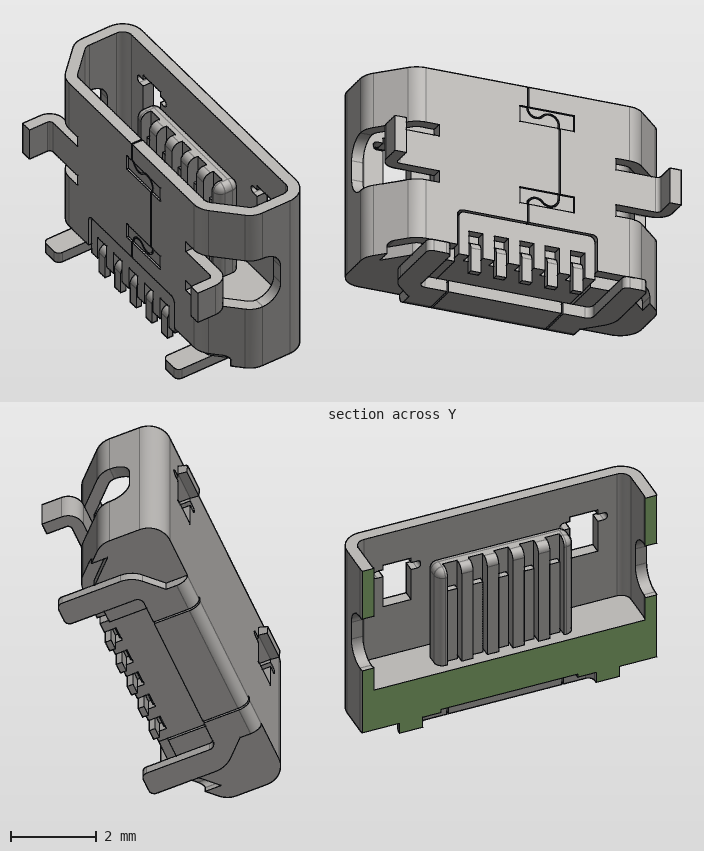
import cadquery as cq
import math


width = 7.5
height = 5.0
depth = 2.46
sheet = 0.29
front_chamfer = 0.93
outer_radius = 0.54
inner_radius = outer_radius - sheet
half_width = width / 2
inner_back = depth - sheet

window_mid_z = 2.85
window_height = 1.49
window_back = 1.665
window_radius = 0.5
slot_inner_x = 2.255
tab_height = 0.9
tab_outer_x = 3.65
tab_inner_bend = 0.1
leg_reach = 0.6

seam_x = 0.015
seam_width = 0.035
trough_radius = 0.22
crest_radius = 0.24
seam_shift = 0.8
seam_recess_min_x = -0.2
seam_recess_max_x = 1.195
seam_recess_depth = 0.05
seam_top = 4.49
seam_mid_z = 3.235
seam_recess_height = 0.41

latch_x = 2.37
latch_width = 0.71
latch_hole_bottom = 2.9
latch_hole_top = 4.1
relief_width = 1.2
relief_bottom = 3.77
relief_top = 3.97
relief_radius = 0.09
latch_reach = 0.24
latch_root_top = 4.46
latch_tip_top = 4.37
latch_tip_bottom = 4.05
latch_tip_lean = 0.02
latch_tip_bevel = 0.035

floor_z = 1.46
block_half_width = 1.735
block_front = 0.05
block_top = 1.485
block_bottom = 0.38
block_radius = 0.14
opening_side_gap = 0.05
opening_top_gap = 0.025
flange_half_width = 3.35
flange_top = 0.594
flange_radius = 0.13
boss_half_width = 0.385
boss_height = 0.15
boss_step_height = 0.3
boss_step_y = 1.995
boss_step_inset = 0.025
boss_chamfer = 0.05

tongue_half_width = 1.735
tongue_front = 1.265
tongue_back = 1.87
tongue_top = 4.2
tongue_radius = 0.2

contact_count = 5
contact_pitch = 0.65
contact_width = 0.256
contact_thickness = 0.15
contact_bend = 0.19
contact_top = 3.5
contact_knee_z = 0.783
channel_width = 0.36
channel_back = 1.55
tail_slot_top = 1.016
tail_slot_step_z = 0.52
tail_slot_step = 0.06

foot_inner_x = 2.2
foot_outer_x = 2.795
foot_tip_radius = 0.14
foot_root_radius = 0.16
foot_shoulder_y = 1.3
foot_shoulder_radius = 0.68
bend_half_width = 2.18
bend_end_y = 1.92
bend_radius = 0.27
bend_inner_radius = block_bottom - sheet
slit_x = 1.46
slit_width = 0.045

contact_positions = [(i - (contact_count - 1) / 2) * contact_pitch for i in range(contact_count)]


def box(x_min, x_max, y_min, y_max, z_min, z_max):
    """Axis-aligned block given by its limits."""
    size = (x_max - x_min, y_max - y_min, z_max - z_min)
    return cq.Workplane("XY").box(*size, centered=False).translate((x_min, y_min, z_min))


def both_sides(body):
    """The body together with its mirror image in X."""
    return body.union(body.mirror("YZ"))


def shell_prism(inset, radius, z_min, z_max):
    """Prism of the shell outline, moved inward by inset, with every corner rounded."""
    half = half_width - inset
    chamfer = front_chamfer - inset * (2 - math.sqrt(2))
    outline = [
        (-half, depth - inset),
        (half, depth - inset),
        (half, inset + chamfer),
        (half - chamfer, inset),
        (chamfer - half, inset),
        (-half, inset + chamfer),
    ]
    prism = cq.Workplane("XY").workplane(offset=z_min).polyline(outline).close().extrude(z_max - z_min)
    return prism.edges("|Z").fillet(radius)


def side_window():
    """Cutter for the left window, which runs round the corner into the front plate."""
    bottom = window_mid_z - window_height / 2
    cutter = box(-width, -slot_inner_x, -depth, window_back, bottom, bottom + window_height)
    return cutter.edges("|X and >Y").fillet(window_radius)


def front_tab():
    """Left tab: leaves the front plate sideways and bends forward."""
    outline = [
        (-slot_inner_x, sheet),
        (-tab_outer_x, sheet),
        (-tab_outer_x, -leg_reach),
        (sheet - tab_outer_x, -leg_reach),
        (sheet - tab_outer_x, 0),
        (-slot_inner_x, 0),
    ]
    bottom = window_mid_z - tab_height / 2
    tab = cq.Workplane("XY").workplane(offset=bottom).polyline(outline).close().extrude(tab_height)
    outer_corner = cq.selectors.NearestToPointSelector((-tab_outer_x, sheet, window_mid_z))
    inner_corner = cq.selectors.NearestToPointSelector((sheet - tab_outer_x, 0, window_mid_z))
    tab = tab.edges("|Z").edges(outer_corner).fillet(tab_inner_bend + sheet)
    return tab.edges("|Z").edges(inner_corner).fillet(tab_inner_bend)


def seam_half():
    """Upper half of the seam: straight, S-shaped inside the recess, then straight to mid height."""
    half = seam_width / 2
    trough_x = seam_x + trough_radius
    crest_x = seam_x + seam_shift - crest_radius
    reach = trough_radius + crest_radius
    crest_z = seam_top - math.sqrt(reach**2 - (crest_x - trough_x) ** 2)
    meet_angle = math.atan2(crest_z - seam_top, crest_x - trough_x)
    trough_mid = (meet_angle - math.pi) / 2
    crest_mid = (meet_angle + math.pi) / 2

    def on_trough(radius, angle):
        return (trough_x + radius * math.cos(angle), seam_top + radius * math.sin(angle))

    def on_crest(radius, angle):
        return (crest_x + radius * math.cos(angle), crest_z + radius * math.sin(angle))

    trough_left = trough_radius + half
    trough_right = trough_radius - half
    crest_left = crest_radius - half
    crest_right = crest_radius + half
    return (
        cq.Workplane("XZ")
        .moveTo(seam_x - half, height)
        .lineTo(seam_x - half, seam_top)
        .threePointArc(on_trough(trough_left, trough_mid), on_trough(trough_left, meet_angle))
        .threePointArc(on_crest(crest_left, crest_mid), on_crest(crest_left, 0))
        .lineTo(seam_x + seam_shift - half, seam_mid_z)
        .lineTo(seam_x + seam_shift + half, seam_mid_z)
        .lineTo(seam_x + seam_shift + half, crest_z)
        .threePointArc(on_crest(crest_right, crest_mid), on_trough(trough_right, meet_angle))
        .threePointArc(on_trough(trough_right, trough_mid), on_trough(trough_right, math.pi))
        .lineTo(seam_x + half, height)
        .close()
        .extrude(-sheet)
    )


def seam_cutter():
    """The whole seam with the two shallow recesses around its S-bends."""
    bottom = seam_top - seam_recess_height
    recess = box(seam_recess_min_x, seam_recess_max_x, 0, seam_recess_depth, bottom, seam_top)
    upper = seam_half().union(recess)
    return upper.union(upper.mirror("XY", (0, 0, seam_mid_z)))


def insert_opening():
    """Cutter at the foot of the front plate: a window for the block and a low notch for the flange."""
    half = block_half_width + opening_side_gap
    tall = box(-half, half, 0, sheet, 0, block_top + opening_top_gap)
    tall = tall.edges("|Y and >Z").fillet(block_radius)
    low = box(-flange_half_width, flange_half_width, 0, front_chamfer + sheet, 0, flange_top)
    low = low.edges("|Y and >Z").fillet(flange_radius)
    return tall.union(low)


def latch_hole():
    """Right latch hole in the back plate, with relief slots beside the fold."""
    half_hole = latch_width / 2
    half_relief = relief_width / 2
    hole = box(latch_x - half_hole, latch_x + half_hole, inner_back, depth, latch_hole_bottom, latch_hole_top)
    relief = box(latch_x - half_relief, latch_x + half_relief, inner_back, depth, relief_bottom, relief_top)
    return hole.union(relief.edges("|Y").fillet(relief_radius))


def latch():
    """Right latch stub, sloping down and out of the back plate."""
    outline = [
        (inner_back, latch_root_top),
        (depth, latch_root_top),
        (depth + latch_reach - latch_tip_bevel, latch_tip_top),
        (depth + latch_reach, latch_tip_top - latch_tip_bevel),
        (depth + latch_reach - latch_tip_lean, latch_tip_bottom),
        (depth, latch_hole_top),
        (inner_back, latch_hole_top),
    ]
    stub = cq.Workplane("YZ").polyline(outline).close().extrude(latch_width)
    return stub.translate((latch_x - latch_width / 2, 0, 0))


def make_shell():
    shell = shell_prism(0, outer_radius, sheet, height)
    shell = shell.cut(shell_prism(sheet, inner_radius, 0, height))
    shell = shell.cut(both_sides(side_window())).union(both_sides(front_tab()))
    shell = shell.cut(seam_cutter()).cut(insert_opening())
    return shell.cut(both_sides(latch_hole())).union(both_sides(latch()))


def make_base():
    """Plate folded forward from the back plate, carrying the two soldering feet."""
    flare_end_y = bend_end_y - (foot_outer_x - bend_half_width)
    left = [
        (-bend_half_width, depth),
        (-bend_half_width, bend_end_y),
        (-foot_outer_x, flare_end_y),
        (-foot_outer_x, -leg_reach),
        (-foot_inner_x, -leg_reach),
        (-foot_inner_x, foot_shoulder_y),
    ]
    right = [(-x, y) for x, y in reversed(left)]
    base = cq.Workplane("XY").polyline(left + right).close().extrude(sheet)
    base = base.edges(">Y and <Z").fillet(bend_radius)
    base = base.edges("|Z and <Y").fillet(foot_tip_radius)
    for side in (-1, 1):
        shoulder = cq.selectors.NearestToPointSelector((side * foot_outer_x, flare_end_y, sheet / 2))
        root = cq.selectors.NearestToPointSelector((side * foot_inner_x, foot_shoulder_y, sheet / 2))
        base = base.edges("|Z").edges(shoulder).fillet(foot_shoulder_radius)
        base = base.edges("|Z").edges(root).fillet(foot_root_radius)
    return base


def bend_inside():
    """Concave fillet inside the fold between the back plate and the base plate."""
    r = bend_inner_radius
    fill = box(-block_half_width, block_half_width, inner_back - r, inner_back, sheet, sheet + r)
    rod = cq.Workplane("YZ").center(inner_back - r, sheet + r).circle(r).extrude(block_half_width, both=True)
    return fill.cut(rod)


def make_tongue():
    root_z = floor_z - tongue_radius
    tongue = box(-tongue_half_width, tongue_half_width, tongue_front, tongue_back, root_z, tongue_top)
    tongue = tongue.edges("|Z or >Z").fillet(tongue_radius)
    half = channel_width / 2
    for x in contact_positions:
        tongue = tongue.cut(box(x - half, x + half, tongue_front, channel_back, floor_z, tongue_top))
    return tongue


def make_insert():
    insert = shell_prism(sheet, inner_radius, sheet, floor_z)
    block = box(-block_half_width, block_half_width, block_front, sheet, block_bottom, block_top)
    insert = insert.union(block.edges("|Y and >Z").fillet(block_radius))
    insert = insert.cut(box(-block_half_width, block_half_width, 0, inner_back, 0, block_bottom))

    half = channel_width / 2
    for x in contact_positions:
        insert = insert.cut(box(x - half, x + half, 0, sheet, 0, tail_slot_top))
        insert = insert.cut(box(x - half, x + half, 0, sheet + tail_slot_step, 0, tail_slot_step_z))

    half_step = boss_half_width - boss_step_inset
    boss = box(-boss_half_width, boss_half_width, tongue_back, boss_step_y, floor_z, floor_z + boss_height)
    step = box(-half_step, half_step, boss_step_y, inner_back, floor_z, floor_z + boss_step_height)
    step = step.edges("|X and <Y and >Z").chamfer(boss_chamfer)
    return insert.union(boss).union(step).union(make_tongue())


def make_contact(x):
    """Blade in the tongue channel and, at the front, the bent tail leaving the insert."""
    half = contact_width / 2
    blade = box(x - half, x + half, channel_back - contact_thickness, channel_back, floor_z, contact_top)
    tail = box(x - half, x + half, block_front, tongue_front, 0, contact_knee_z)
    tail = tail.edges("|X and <Y and >Z").fillet(contact_bend)
    under_front = block_front + contact_thickness
    under_top = contact_knee_z - contact_thickness
    under = box(x - half, x + half, under_front, tongue_front, 0, under_top)
    return blade.union(tail.cut(under))


def fold_slits():
    """Narrow slits in the base plate and its fold, beside the outermost contacts."""
    half = slit_width / 2
    return both_sides(box(slit_x - half, slit_x + half, 0, depth, 0, block_bottom))


result = make_shell().union(make_base()).union(bend_inside()).union(make_insert())
result = result.cut(fold_slits())
for contact_x in contact_positions:
    result = result.union(make_contact(contact_x))